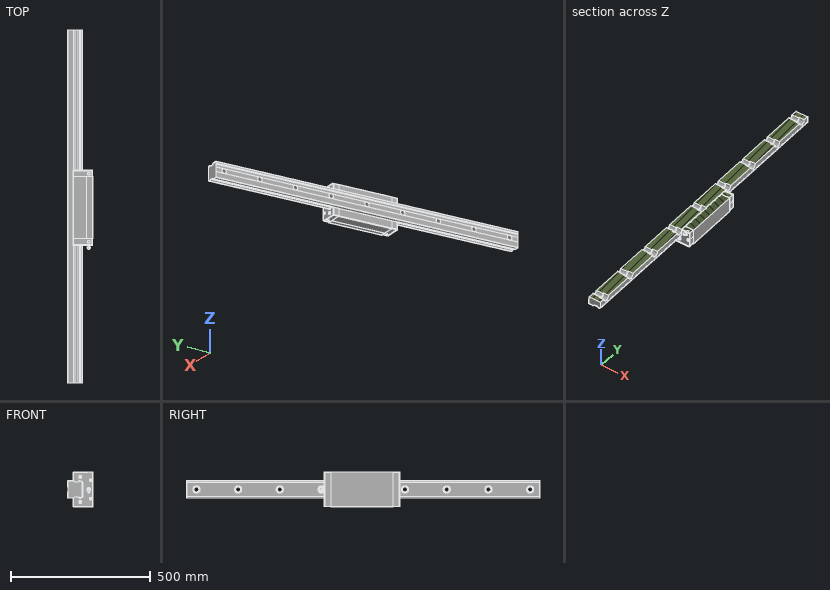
import cadquery as cq
import math


rail_length = 1270.0
rail_height = 53.0
base_half_width = 31.5
base_height = 20.0
base_chamfer = 1.0
neck_half_width = 26.3
neck_end = 37.0
head_half_width = 30.5
head_top_half_width = 25.7
shoulder_angle = math.radians(42)
head_angle = math.radians(36)

relief_width = 18.0
mark_groove_width = 3.0
mark_groove_z = 21.4
groove_depth = 0.5

bolt_count = 9
bolt_pitch = 150.0
bolt_diameter = 18.0
bolt_head_diameter = 26.0
bolt_head_depth = 22.0

carriage_y = -4.5
carriage_top = 90.0
carriage_bottom = 19.5
carriage_half_width = 63.0
block_length = 223.0
cap_length = 21.0
seal_thickness = 3.5
rail_clearance = 0.3
bottom_chamfer = 2.0
cap_chamfer = 1.5
cap_top_inset = 1.5
cap_side_inset = 1.0
side_step_x = 68.0
side_step = 0.5

block_half_length = block_length / 2
cap_top = carriage_top - cap_top_inset
cap_half_width = carriage_half_width - cap_side_inset
cap_outer = block_half_length + cap_length
carriage_half_length = cap_outer + seal_thickness

side_screw_x = 45.0
side_screw_z = 45.2
side_screw_head_diameter = 10.4
side_screw_diameter = 5.5
top_screw_x = 82.3
top_screw_z = 33.0
top_screw_head_diameter = 9.5
top_screw_diameter = 5.5
pin_hole_z = -11.5
pin_hole_diameter = 4.2
port_diameter = 9.5
port_depth = 6.0

nipple_x = 75.6
nipple_stem_diameter = 5.5
nipple_collar_diameter = 13.84
nipple_tip_diameter = 5.0
nipple_insert_depth = 12.0
nipple_neck_length = 5.5
nipple_collar_length = 2.5
nipple_length = 14.5


def extrude_y(section, y_start, y_end):
    """Extrude a section drawn in XZ (local x = X, local y = Z) between two Y stations."""
    return section(cq.Workplane("XZ", origin=(0, y_start, 0))).extrude(y_start - y_end)


def cylinder_y(diameter, x, z, y_start, y_end):
    return extrude_y(lambda plane: plane.center(x, z).circle(diameter / 2), y_start, y_end)


def symmetric_outline(upper_points):
    """Close an upper half-outline with its mirror image about z = 0."""
    lower_points = [(x, -z) for x, z in reversed(upper_points)]
    return upper_points + lower_points


neck_start = base_height + (base_half_width - neck_half_width) / math.tan(shoulder_angle)
head_start = neck_end + (head_half_width - neck_half_width) / math.tan(head_angle)
head_end = rail_height - (head_half_width - head_top_half_width) / math.tan(head_angle)

rail_outline = symmetric_outline([
    (0, base_half_width - base_chamfer),
    (base_chamfer, base_half_width),
    (base_height, base_half_width),
    (neck_start, neck_half_width),
    (neck_end, neck_half_width),
    (head_start, head_half_width),
    (head_end, head_half_width),
    (rail_height, head_top_half_width),
])


def make_rail():
    half_length = rail_length / 2
    rail = extrude_y(lambda plane: plane.polyline(rail_outline).close(), -half_length, half_length)

    for groove_z, groove_width in ((0, relief_width), (mark_groove_z, mark_groove_width)):
        groove = cq.Workplane("XY").box(2 * groove_depth, rail_length, groove_width)
        rail = rail.cut(groove.translate((0, 0, groove_z)))

    first_bolt_y = -bolt_pitch * (bolt_count - 1) / 2
    for i in range(bolt_count):
        bolt_axis = cq.Workplane("YZ", origin=(0, first_bolt_y + i * bolt_pitch, 0))
        through_hole = bolt_axis.circle(bolt_diameter / 2).extrude(rail_height)
        head_recess = (
            bolt_axis.workplane(offset=rail_height - bolt_head_depth)
            .circle(bolt_head_diameter / 2)
            .extrude(bolt_head_depth)
        )
        rail = rail.cut(through_hole).cut(head_recess)
    return rail


def cut_rail_passage(body):
    """Clear the rail section, with running clearance all round, through a carriage body."""
    passage = extrude_y(
        lambda plane: plane.polyline(rail_outline).close().offset2D(rail_clearance, "intersection"),
        -rail_length / 2,
        rail_length / 2,
    )
    return body.cut(passage)


def make_block():
    step_half_width = carriage_half_width - side_step
    outline = symmetric_outline([
        (carriage_bottom, step_half_width - bottom_chamfer),
        (carriage_bottom + bottom_chamfer, step_half_width),
        (side_step_x, step_half_width),
        (side_step_x, carriage_half_width),
        (carriage_top, carriage_half_width),
    ])
    block = extrude_y(
        lambda plane: plane.polyline(outline).close(),
        carriage_y - block_half_length,
        carriage_y + block_half_length,
    )
    return cut_rail_passage(block)


def end_plate(end, inner, outer):
    outline = symmetric_outline([
        (carriage_bottom, cap_half_width - bottom_chamfer),
        (carriage_bottom + bottom_chamfer, cap_half_width),
        (cap_top - cap_chamfer, cap_half_width),
        (cap_top, cap_half_width - cap_chamfer),
    ])
    plate = extrude_y(
        lambda plane: plane.polyline(outline).close(),
        carriage_y + end * inner,
        carriage_y + end * outer,
    )
    return cut_rail_passage(plate)


def cut_screw_holes(plate, end, inner, outer, side_diameter, top_diameter):
    """Cut the four screw holes and the pin hole through an end plate."""
    holes = [(pin_hole_diameter, nipple_x, pin_hole_z)]
    for side in (-1, 1):
        holes.append((side_diameter, side_screw_x, side * side_screw_z))
        holes.append((top_diameter, top_screw_x, side * top_screw_z))
    for diameter, x, z in holes:
        plate = plate.cut(cylinder_y(diameter, x, z, carriage_y + end * inner, carriage_y + end * outer))
    return plate


def make_cap(end):
    cap = end_plate(end, block_half_length, cap_outer)
    cap = cut_screw_holes(cap, end, block_half_length, cap_outer, side_screw_diameter, top_screw_diameter)

    port_y = carriage_y + end * (block_half_length + cap_length / 2)
    for side in (-1, 1):
        port = (
            cq.Workplane("XY", origin=(nipple_x, port_y, side * cap_half_width))
            .circle(port_diameter / 2)
            .extrude(-side * port_depth)
        )
        cap = cap.cut(port)
    return cap


def make_seal(end):
    seal = end_plate(end, cap_outer, carriage_half_length)
    return cut_screw_holes(
        seal, end, cap_outer, carriage_half_length, side_screw_head_diameter, top_screw_head_diameter
    )


seal_face_y = carriage_y - carriage_half_length


def make_nipple():
    stem_radius = nipple_stem_diameter / 2
    collar_radius = nipple_collar_diameter / 2
    tip_radius = nipple_tip_diameter / 2
    collar_start = seal_face_y - nipple_neck_length
    collar_end = collar_start - nipple_collar_length
    cone_end = collar_end - (collar_radius - tip_radius)
    stem_end = seal_face_y + nipple_insert_depth
    tip_end = seal_face_y - nipple_length
    half_section = [
        (0, stem_end),
        (stem_radius, stem_end),
        (stem_radius, collar_start),
        (collar_radius, collar_start),
        (collar_radius, collar_end),
        (tip_radius, cone_end),
        (tip_radius, tip_end),
        (0, tip_end),
    ]
    turned = cq.Workplane("XY").polyline(half_section).close().revolve(360, (0, 0, 0), (0, 1, 0))
    return turned.translate((nipple_x, 0, 0))


rail = make_rail()
block = make_block()
nipple_hole = cylinder_y(nipple_stem_diameter, nipple_x, 0, seal_face_y, seal_face_y + nipple_insert_depth)
front_cap = make_cap(-1).cut(nipple_hole)
front_seal = make_seal(-1).cut(nipple_hole)
rear_cap = make_cap(1)
rear_seal = make_seal(1)
nipple = make_nipple()

result = cq.Compound.makeCompound([
    rail.val(),
    block.val(),
    front_cap.val(),
    rear_cap.val(),
    front_seal.val(),
    rear_seal.val(),
    nipple.val(),
])